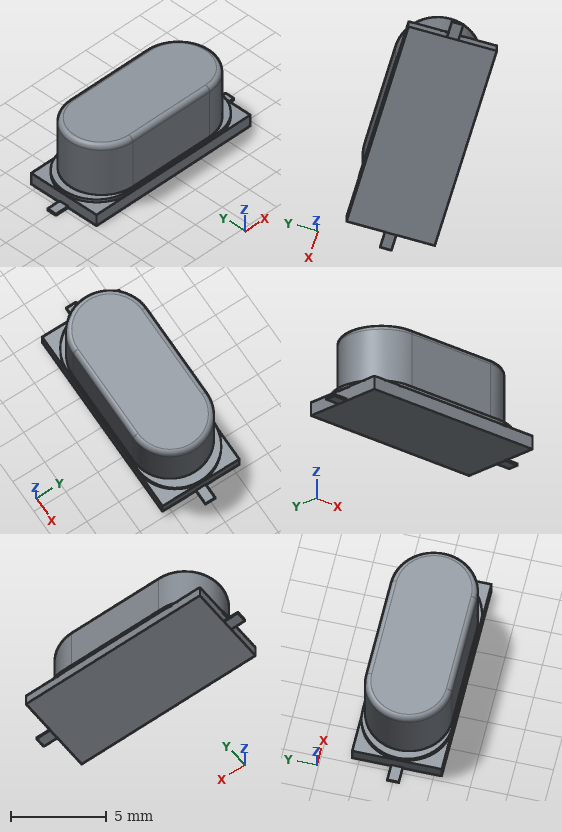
import cadquery as cq

overall_length = 13.2
overall_height = 4.3

base_length = 11.4
base_width = 4.8
base_height = 0.75

flange_length = 11.35
flange_width = base_width
flange_height = 0.2
cover_length = 10.3
cover_width = 4.61
cover_offset_x = -0.07
cover_edge_radius = 0.3

lead_width = 0.62
lead_thickness = 0.1
lead_length = (overall_length - base_length) / 2


def make_base():
    return cq.Workplane("XY").box(base_length, base_width, base_height, centered=(True, True, False))


def make_can():
    flange = (
        cq.Workplane("XY", origin=(0, 0, base_height))
        .slot2D(flange_length, flange_width)
        .extrude(flange_height)
    )
    cover = (
        cq.Workplane("XY", origin=(cover_offset_x, 0, base_height + flange_height))
        .slot2D(cover_length, cover_width)
        .extrude(overall_height - base_height - flange_height)
        .faces(">Z")
        .edges()
        .fillet(cover_edge_radius)
    )
    return flange.union(cover)


def make_lead(side):
    center_x = side * (base_length + lead_length) / 2
    return cq.Workplane("XY", origin=(center_x, 0, 0)).box(
        lead_length, lead_width, lead_thickness, centered=(True, True, False)
    )


base = make_base()
can = make_can()
leads = [make_lead(side) for side in (-1, 1)]

result = cq.Compound.makeCompound([base.val(), can.val(), *[lead.val() for lead in leads]])